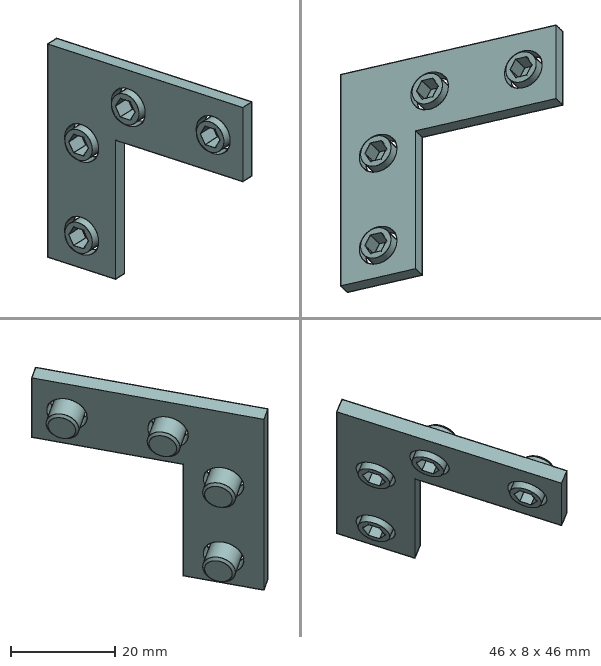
import cadquery as cq
import math

plate_side = 46.0
arm_width = 16.0
plate_thickness = 3.0

hole_diameter = 8.0
arm_centre = arm_width / 2
near_hole = 19.0
far_hole = 39.0
screw_places = [
    (near_hole, -arm_centre),
    (far_hole, -arm_centre),
    (arm_centre, -near_hole),
    (arm_centre, -far_hole),
]

screw_diameter = 6.5
screw_length = 8.0
front_protrusion = 1.0
tip_chamfer = 0.5
socket_across_flats = 4.0
socket_depth = 4.0


def make_plate():
    """L-shaped plate with a clearance hole for each screw."""
    outline = [
        (0, 0),
        (plate_side, 0),
        (plate_side, -arm_width),
        (arm_width, -arm_width),
        (arm_width, -plate_side),
        (0, -plate_side),
    ]
    plate = cq.Workplane("XZ").polyline(outline).close().extrude(-plate_thickness)
    holes = (
        cq.Workplane("XZ")
        .pushPoints(screw_places)
        .circle(hole_diameter / 2)
        .extrude(-plate_thickness)
    )
    return plate.cut(holes)


def make_screw(x, z):
    """Set screw along Y with a hex socket in front and a chamfered tip at the back."""
    head_plane = cq.Workplane("XZ", origin=(x, -front_protrusion, z))
    body = head_plane.circle(screw_diameter / 2).extrude(-screw_length)
    body = body.faces(">Y").chamfer(tip_chamfer)
    socket_across_corners = socket_across_flats / math.cos(math.pi / 6)
    socket = head_plane.polygon(6, socket_across_corners).extrude(-socket_depth)
    return body.cut(socket)


plate = make_plate()
screws = [make_screw(x, z) for x, z in screw_places]

result = cq.Compound.makeCompound([plate.val(), *[screw.val() for screw in screws]])